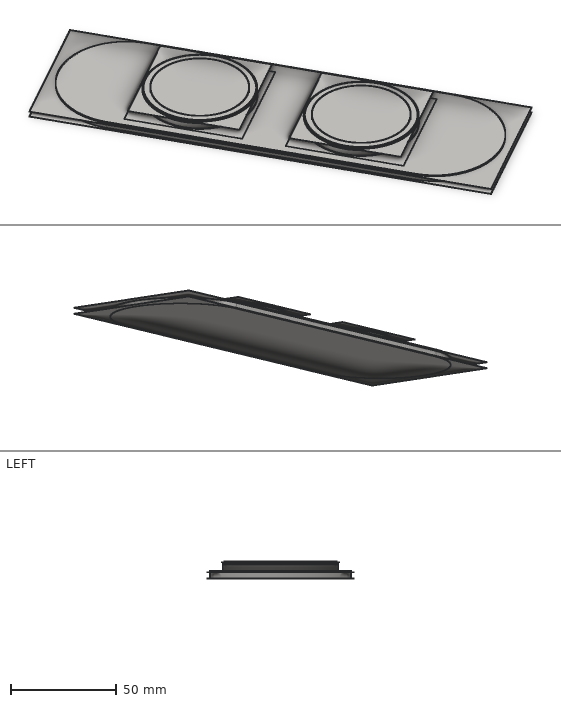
import cadquery as cq

sheet_thickness = 0.1

plate_length = 220.3
plate_width = 67.2
plate_height = 3.6
flange_length = 228.8
flange_width = 69.68
upper_flange_z = 2.9
plate_flange_levels = (0, upper_flange_z)

cap_spacing = 80.0
cap_centres = (-cap_spacing / 2, cap_spacing / 2)
cap_diameter = 55.1
cap_neck_diameter = 55.0
cap_rim_diameter = 53.7
cap_top_z = 8.14
cap_wall_top_z = 6.6
cap_rim_base_z = 7.4
cap_sheet_x = 55.4
cap_sheet_y = 55.8
cap_sheet_z = 7.7
foot_x = 58.4
foot_y = 57.0
foot_z = 3.1

lens_seat_diameter = 47.3
lens_gap = 0.2
lens_diameter = lens_seat_diameter - 2 * lens_gap
lens_thickness = 1.5
lens_seat_z = cap_top_z - lens_thickness


def sheet(length, width, bottom_z):
    """Thin rectangular sheet centred on the Z axis."""
    return (
        cq.Workplane("XY")
        .workplane(offset=bottom_z)
        .rect(length, width)
        .extrude(sheet_thickness)
    )


def disc(diameter, bottom_z, top_z):
    """Round disc on the Z axis between two heights."""
    return (
        cq.Workplane("XY")
        .workplane(offset=bottom_z)
        .circle(diameter / 2)
        .extrude(top_z - bottom_z)
    )


def make_cap_blank():
    """Cap with its sheet and foot, before the lens seat is cut."""
    return (
        disc(cap_diameter, foot_z, cap_wall_top_z)
        .union(disc(cap_neck_diameter, cap_wall_top_z, cap_rim_base_z))
        .union(disc(cap_rim_diameter, cap_rim_base_z, cap_top_z))
        .union(sheet(cap_sheet_x, cap_sheet_y, cap_sheet_z))
        .union(sheet(foot_x, foot_y, foot_z))
    )


def make_cap(centre_x):
    """Cap with a shallow round seat for its lens."""
    seat = disc(lens_seat_diameter, lens_seat_z, cap_top_z)
    return make_cap_blank().cut(seat).translate((centre_x, 0, 0))


def make_lens(centre_x):
    """Round insert that rests on the floor of the cap's seat."""
    return disc(lens_diameter, lens_seat_z, cap_top_z).translate((centre_x, 0, 0))


def make_plate():
    """Rounded-end plate with flanges and a matching recess for each cap."""
    body = cq.Workplane("XY").slot2D(plate_length, plate_width).extrude(plate_height)
    for level in plate_flange_levels:
        body = body.union(sheet(flange_length, flange_width, level))
    for centre_x in cap_centres:
        body = body.cut(make_cap_blank().translate((centre_x, 0, 0)))
    return body


plate = make_plate()
caps = [make_cap(centre_x) for centre_x in cap_centres]
lenses = [make_lens(centre_x) for centre_x in cap_centres]

result = cq.Compound.makeCompound(
    [plate.val()] + [cap.val() for cap in caps] + [lens.val() for lens in lenses]
)